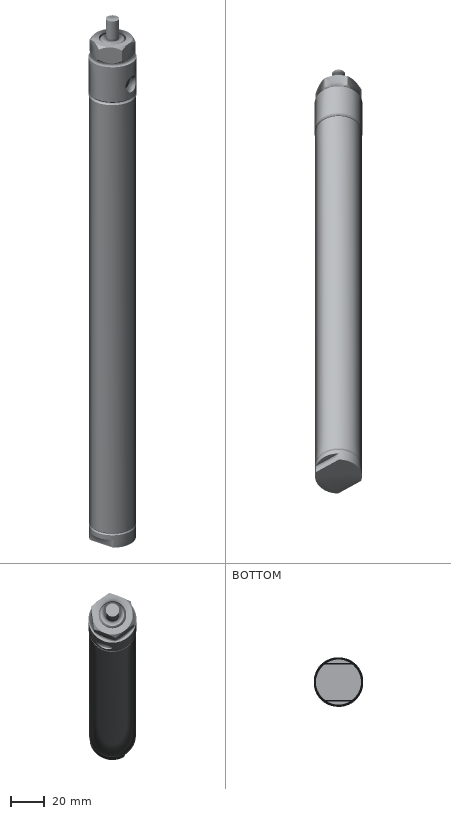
import cadquery as cq
import math


total_height = 346.0
head_radius = 14.2
tube_radius = 14.0

flat_height = 5.2
flat_gap = 21.8

groove_width = 2.0
groove_depth = 1.0
groove_heights = (9.0, 296.5)

head_top = 320.7
neck_diameter = 16.3
neck_chamfer = 1.5

port_diameter = 10.5
port_depth = 5.2
port_height = 306.5

nut_across_flats = 24.0
nut_bottom = 322.0
nut_thickness = 10.7
nut_top = nut_bottom + nut_thickness
nut_chamfer_angle = 45.0

rod_diameter = 8.0
rod_bottom = groove_heights[1]


def cylinder(diameter, bottom, top):
    """Upright cylinder on the Z axis."""
    return cq.Workplane("XY").workplane(offset=bottom).circle(diameter / 2).extrude(top - bottom)


def crimp_groove(height):
    """Ring that cuts a V-shaped groove around the tube."""
    half_width = groove_width / 2
    return (
        cq.Workplane("XZ")
        .moveTo(head_radius, height - half_width)
        .lineTo(head_radius - groove_depth, height)
        .lineTo(head_radius, height + half_width)
        .close()
        .revolve(360, (0, 0, 0), (0, 1, 0))
    )


def wrench_flats():
    """Two blocks that cut the flats on the +Y and -Y sides of the end cap."""
    return (
        cq.Workplane("XY")
        .rect(2 * head_radius, 2 * head_radius)
        .rect(2 * head_radius, flat_gap)
        .extrude(flat_height)
    )


def air_port():
    """Blind hole entering the head from the +X side."""
    return (
        cq.Workplane("YZ", origin=(head_radius - port_depth, 0, port_height))
        .circle(port_diameter / 2)
        .extrude(port_depth)
    )


def make_housing():
    """End cap, tube, head and threaded neck, bored for the rod."""
    tube_top = groove_heights[1] - groove_width / 2
    tube = cylinder(2 * tube_radius, 0, tube_top)
    head = cylinder(2 * head_radius, tube_top, head_top)
    neck = cylinder(neck_diameter, head_top, nut_top).faces(">Z").chamfer(neck_chamfer)
    housing = tube.union(head).union(neck)
    for height in groove_heights:
        housing = housing.cut(crimp_groove(height))
    housing = housing.cut(wrench_flats())
    housing = housing.cut(air_port())
    return housing.cut(cylinder(rod_diameter, rod_bottom, nut_top))


def make_nut():
    """Hexagon nut with corners on the Y axis, chamfered on both faces."""
    corner_radius = nut_across_flats / math.sqrt(3)
    flat_radius = nut_across_flats / 2
    chamfer_drop = (corner_radius - flat_radius) * math.tan(math.radians(nut_chamfer_angle))
    hexagon = (
        cq.Workplane("XY")
        .workplane(offset=nut_bottom)
        .transformed(rotate=(0, 0, 90))
        .polygon(6, 2 * corner_radius)
        .extrude(nut_thickness)
    )
    chamfer_envelope = (
        cq.Workplane("XZ")
        .moveTo(0, nut_bottom)
        .lineTo(flat_radius, nut_bottom)
        .lineTo(corner_radius, nut_bottom + chamfer_drop)
        .lineTo(corner_radius, nut_top - chamfer_drop)
        .lineTo(flat_radius, nut_top)
        .lineTo(0, nut_top)
        .close()
        .revolve(360, (0, 0, 0), (0, 1, 0))
    )
    nut = hexagon.intersect(chamfer_envelope)
    return nut.cut(cylinder(neck_diameter, nut_bottom, nut_top))


housing = make_housing()
nut = make_nut()
rod = cylinder(rod_diameter, rod_bottom, total_height)

result = cq.Compound.makeCompound([housing.val(), nut.val(), rod.val()])